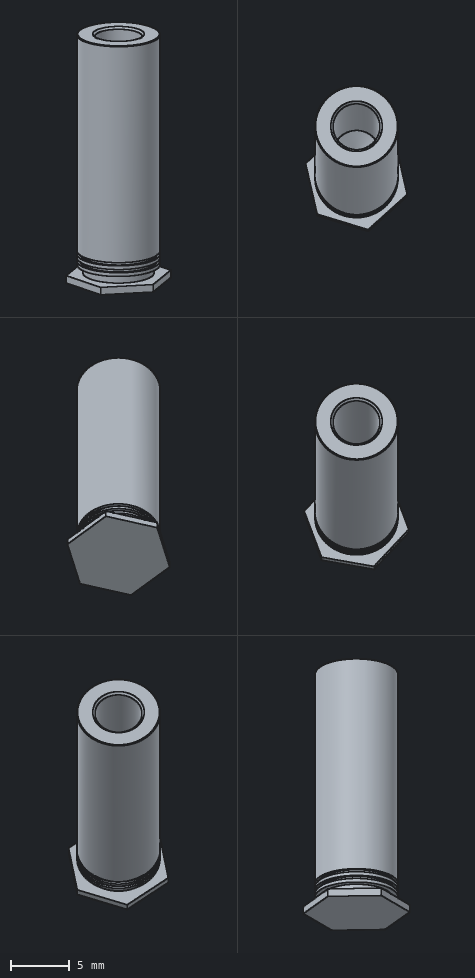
import cadquery as cq
import math

total_height = 22.0
hex_across_flats = 7.9
hex_across_corners = hex_across_flats / math.cos(math.pi / 6)
hex_thickness = 0.68

body_diameter = 7.13
groove_diameter = 6.62
neck_diameter = 6.1
neck_length = 0.75
ring_thickness = 0.33
groove_width = 0.29
groove_count = 2
rim_chamfer = 0.07

bore_diameter = 4.0
bore_depth = 11.0
drill_point_angle = 118.0
bore_chamfer = 0.2


def cylinder(diameter, bottom, height):
    """Cylinder on the Z axis, starting at the given height."""
    return cq.Workplane("XY").workplane(offset=bottom).circle(diameter / 2).extrude(height)


def make_head():
    """Hexagonal head with two corners on the X axis."""
    return cq.Workplane("XY").polygon(6, hex_across_corners).extrude(hex_thickness)


def make_shank():
    """Grooved body on a narrower neck, with a chamfered top rim."""
    body_bottom = hex_thickness + neck_length
    body = cylinder(body_diameter, body_bottom, total_height - body_bottom)
    body = body.faces(">Z").edges().chamfer(rim_chamfer)
    for index in range(groove_count):
        groove_bottom = body_bottom + ring_thickness + index * (ring_thickness + groove_width)
        groove = cylinder(body_diameter, groove_bottom, groove_width)
        body = body.cut(groove.cut(cylinder(groove_diameter, groove_bottom, groove_width)))
    return body.union(cylinder(neck_diameter, hex_thickness, neck_length))


def make_bore():
    """Revolved cutter: chamfered mouth, straight wall and conical bottom."""
    radius = bore_diameter / 2
    bore_bottom = total_height - bore_depth
    point_depth = radius / math.tan(math.radians(drill_point_angle / 2))
    return (
        cq.Workplane("XZ")
        .moveTo(0, total_height)
        .lineTo(radius + bore_chamfer, total_height)
        .lineTo(radius, total_height - bore_chamfer)
        .lineTo(radius, bore_bottom)
        .lineTo(0, bore_bottom - point_depth)
        .close()
        .revolve(360, (0, 0, 0), (0, 1, 0))
    )


result = make_head().union(make_shank()).cut(make_bore())